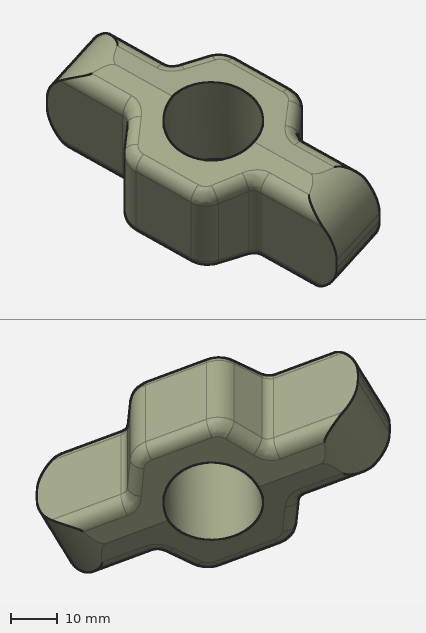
import cadquery as cq
import math

length = 76.2
hub_across_flats = 36.83
wing_width = 15.875
ridge_height = 28.06
roof_slope = 5.0
bore_diameter = 21.34
hub_corner_radius = 5.9
wing_root_radius = 2.54
wing_rim_radius = 3.6
hub_rim_radius = 3.1
tip_radius = 12.7
position_tolerance = 0.01

half_length = length / 2
half_hub = hub_across_flats / 2
half_wing = wing_width / 2
half_ridge = ridge_height / 2
half_corner_tangent = math.tan(math.radians(30))
hub_corner_x = half_hub * half_corner_tangent
wing_root_x = 2 * hub_corner_x - half_wing * half_corner_tangent
eave_height = half_ridge - half_hub * math.tan(math.radians(roof_slope))


def make_plan_prism():
    """Upright prism of the hexagonal hub and its two wings, corners rounded."""
    corners = [
        (half_length, half_wing),
        (wing_root_x, half_wing),
        (hub_corner_x, half_hub),
        (-hub_corner_x, half_hub),
        (-wing_root_x, half_wing),
        (-half_length, half_wing),
    ]
    mirrored = [(x, -y) for x, y in reversed(corners)]
    prism = (
        cq.Workplane("XY")
        .polyline(corners + mirrored)
        .close()
        .extrude(half_ridge, both=True)
    )
    for side in (-1, 1):
        for end in (-1, 1):
            prism = round_upright_edge(prism, end * hub_corner_x, side * half_hub, hub_corner_radius)
            prism = round_upright_edge(prism, end * wing_root_x, side * half_wing, wing_root_radius)
    return prism


def round_upright_edge(body, x, y, radius):
    """Fillet the vertical edge that stands at (x, y)."""
    return body.edges(cq.selectors.NearestToPointSelector((x, y, 0))).fillet(radius)


def make_roof_envelope():
    """Bar along X whose top and bottom slope down from a central ridge."""
    return (
        cq.Workplane("YZ")
        .moveTo(0, half_ridge)
        .lineTo(half_hub, eave_height)
        .lineTo(half_hub, -eave_height)
        .lineTo(0, -half_ridge)
        .lineTo(-half_hub, -eave_height)
        .lineTo(-half_hub, eave_height)
        .close()
        .extrude(half_length, both=True)
    )


def is_rim(edge):
    """True for the edges where the sloping faces meet the upright side walls."""
    center = edge.Center()
    on_wall = abs(center.y) > half_wing - position_tolerance
    on_roof = abs(center.z) > eave_height - position_tolerance
    return on_wall and on_roof


def round_rims(body):
    """Fillet the rims, blending from the wing radius to the hub radius around each wing root."""
    solid = body.val()
    fillet = cq.occ_impl.shapes.BRepFilletAPI_MakeFillet(solid.wrapped)
    for edge in body.edges("not(|Z or |Y)").filter(is_rim).vals():
        if fillet.Contour(edge.wrapped) == 0:
            fillet.Add(edge.wrapped)
    for contour in range(1, fillet.NbContours() + 1):
        edge_count = fillet.NbEdges(contour)
        wing_radii = [wing_rim_radius] * 2
        hub_radii = [hub_rim_radius] * (edge_count + 1 - 2 * len(wing_radii))
        radii = wing_radii + hub_radii + wing_radii
        for index in range(edge_count):
            fillet.SetRadius(radii[index], radii[index + 1], contour, index + 1)
    return cq.Workplane(cq.Shape.cast(fillet.Shape())).solids()


def make_tip_envelope():
    """Bar along Y with the rounded outline of the wing tips."""
    return (
        cq.Workplane("XY")
        .box(length, hub_across_flats, ridge_height)
        .edges("|Y")
        .fillet(tip_radius)
    )


def make_bore():
    """Round bar that fills the through bore."""
    return (
        cq.Workplane("XY")
        .workplane(offset=-half_ridge)
        .circle(bore_diameter / 2)
        .extrude(ridge_height)
    )


body = make_plan_prism().intersect(make_roof_envelope())
body = round_rims(body)
body = body.intersect(make_tip_envelope())
result = body.cut(make_bore()).solids()